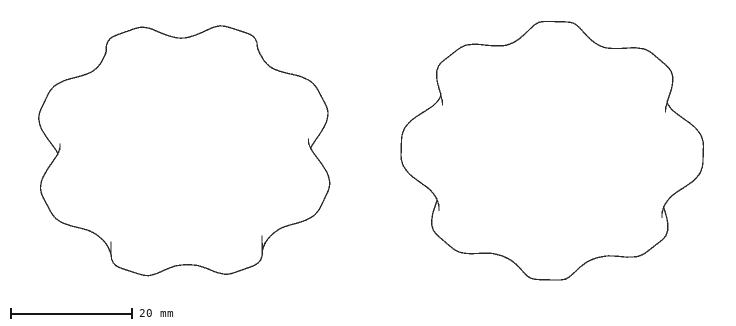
import cadquery as cq
import math

height = 10.0
rim_radius = height / 2
outer_radius = 25.0
ring_radius = outer_radius - rim_radius

dish_radius = 17.9
dish_depth = 3.7

scallop_count = 8
scallop_radius = 6.97
scallop_floor = 20.5
scallop_edge_fillet = 2.0


def make_body():
    """Revolve the half section: flat base, half-round rim and dished top."""
    rim_run = ring_radius - dish_radius
    dish_edge_z = math.sqrt(rim_radius**2 - rim_run**2)
    dish_bottom_z = dish_edge_z - dish_depth
    sphere_radius = (dish_radius**2 + dish_depth**2) / (2 * dish_depth)
    dish_mid_r = dish_radius / 2
    dish_mid_z = dish_bottom_z + sphere_radius - math.sqrt(sphere_radius**2 - dish_mid_r**2)
    return (
        cq.Workplane("XZ")
        .moveTo(0, -rim_radius)
        .lineTo(ring_radius, -rim_radius)
        .threePointArc((outer_radius, 0), (dish_radius, dish_edge_z))
        .threePointArc((dish_mid_r, dish_mid_z), (0, dish_bottom_z))
        .close()
        .revolve(360, (0, 0, 0), (0, 1, 0))
    )


def make_scallop_cutters():
    """Upright cylinders spaced evenly around the edge."""
    return (
        cq.Workplane("XY", origin=(0, 0, -height))
        .polarArray(scallop_floor + scallop_radius, 0, 360, scallop_count)
        .circle(scallop_radius)
        .extrude(2 * height)
    )


def fillet_scallops(body):
    """Round the single closed edge that borders each scallop wall."""
    return body.faces("%CYLINDER").edges().fillet(scallop_edge_fillet)


result = fillet_scallops(make_body().cut(make_scallop_cutters()))